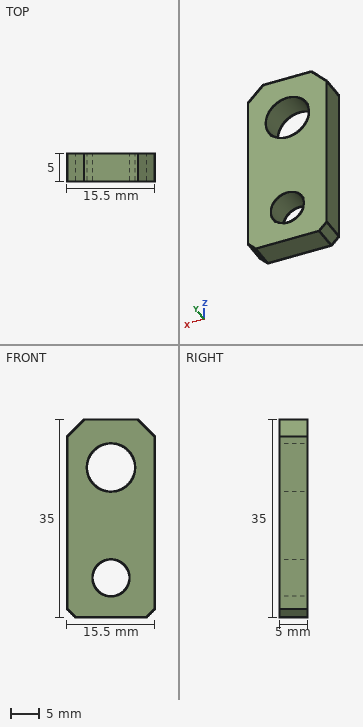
import cadquery as cq

width = 15.5
thickness = 5.0
height = 35.0

top_chamfer = 3.0
bottom_chamfer = 1.5

large_hole_diameter = 8.5
large_hole_from_top = 8.5
small_hole_diameter = 6.5
small_hole_from_bottom = 7.0


def make_plate():
    """Flat upright plate with its four corners chamfered, centred on the origin."""
    plate = cq.Workplane("XY").box(width, thickness, height)
    plate = plate.faces(">Z").edges("|Y").chamfer(top_chamfer)
    return plate.faces("<Z").edges("|Y").chamfer(bottom_chamfer)


def make_hole(diameter, z):
    """Cylinder along Y that cuts through the full plate thickness at height z."""
    front_face = cq.Workplane("XZ", origin=(0, -thickness / 2, z))
    return front_face.circle(diameter / 2).extrude(-thickness)


large_hole = make_hole(large_hole_diameter, height / 2 - large_hole_from_top)
small_hole = make_hole(small_hole_diameter, -height / 2 + small_hole_from_bottom)

result = make_plate().cut(large_hole).cut(small_hole)